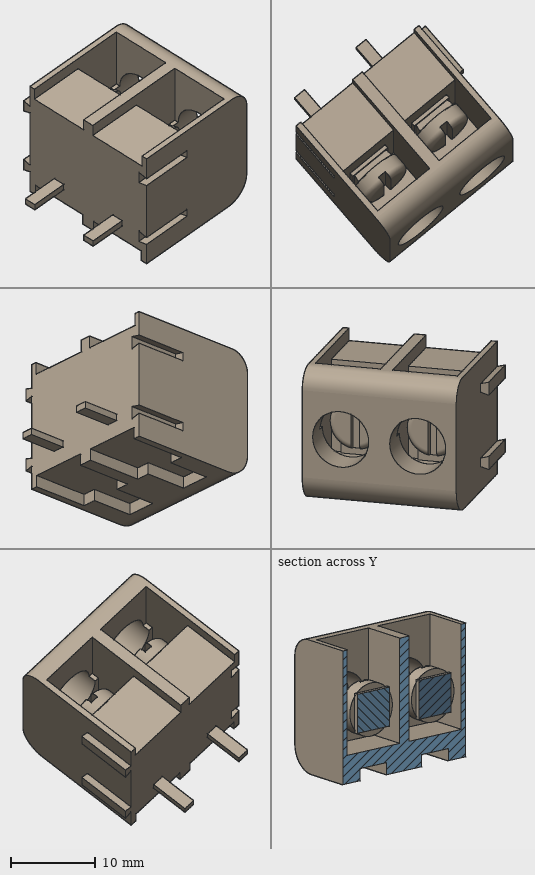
import cadquery as cq


POLES = 2
WIDTH = 19.02
PITCH = WIDTH / POLES
DEPTH = 17.3
HEIGHT = 16.5
TOP_RADIUS = 2.5
BOTTOM_RADIUS = 3.17

POCKET_WIDTH = 8.03
POCKET_BACK = 14.15
SHELF_DEPTH = 7.54
SHELF_DROP = 1.55
LIP_FRONT = 13.18

SCREW_Z = 8.35
DRIVER_HOLE_RADIUS = 3.45
HEAD_RADIUS = 3.28
HEAD_FRONT = 8.88
HEAD_LENGTH = 2.3
HEAD_ROUNDING = 0.75
DRIVE_SLOT_WIDTH = 1.07
DRIVE_SLOT_DEPTH = 1.0

PIN_WIDTH = 1.54
PIN_HEIGHT = 0.85
PIN_BOTTOM = 3.55
PIN_REACH = 5.0
PLATE_WIDTH = 5.4
PLATE_THICKNESS = 0.5
PLATE_BACK = SHELF_DEPTH + PLATE_THICKNESS
PLATE_TOP = SCREW_Z + PLATE_WIDTH / 2
CLAMP_FRONT_WIDTH = 4.86
CLAMP_BACK_WIDTH = 5.1

NOTCH_WIDTH = 7.72
NOTCH_HEIGHT = 1.5
NOTCH_CORE_WIDTH = 4.04

DOVETAIL_HEIGHTS = (3.6, 12.85)
DOVETAIL_LENGTH = 6.98
DOVETAIL_NECK_WIDTH = 1.07
DOVETAIL_OUTER_WIDTH = 1.63
RIB_PROJECTION = 1.0
GROOVE_DEPTH = 1.27

POLE_CENTRES = [(i + 0.5) * PITCH for i in range(POLES)]


def block(x_centre, width, y_front, y_back, z_bottom, z_top):
    """Box centred on x_centre between the given Y and Z limits."""
    plane = cq.Workplane("XY", origin=(x_centre, y_front, z_bottom))
    return plane.box(width, y_back - y_front, z_top - z_bottom, centered=(True, False, False))


def cylinder_along_y(x_centre, radius, y_front, y_back):
    """Cylinder on the screw axis of a pole."""
    plane = cq.Workplane("XZ", origin=(x_centre, y_front, SCREW_Z))
    return plane.circle(radius).extrude(y_front - y_back)


def dovetail(x_face, reach, z_centre):
    """Prism that starts at x_face and widens toward -X."""
    neck_half = DOVETAIL_NECK_WIDTH / 2
    outer_half = DOVETAIL_OUTER_WIDTH / 2
    outline = [
        (x_face, z_centre - neck_half),
        (x_face, z_centre + neck_half),
        (x_face - reach, z_centre + outer_half),
        (x_face - reach, z_centre - outer_half),
    ]
    return cq.Workplane("XZ").polyline(outline).close().extrude(-DOVETAIL_LENGTH)


def make_shell():
    """Solid housing block with its rear edges rounded."""
    shell = block(WIDTH / 2, WIDTH, 0, DEPTH, 0, HEIGHT)
    shell = shell.edges("|X and >Y and >Z").fillet(TOP_RADIUS)
    return shell.edges("|X and >Y and <Z").fillet(BOTTOM_RADIUS)


def cut_pole(body, x):
    """Cut the pocket, driver hole, pin passage and underside notch of one pole."""
    body = body.cut(block(x, POCKET_WIDTH, 0, SHELF_DEPTH, HEIGHT - SHELF_DROP, HEIGHT))
    body = body.cut(block(x, POCKET_WIDTH, SHELF_DEPTH, LIP_FRONT, PIN_BOTTOM, HEIGHT))
    body = body.cut(block(x, POCKET_WIDTH, LIP_FRONT, POCKET_BACK, SCREW_Z, HEIGHT))
    body = body.cut(cylinder_along_y(x, DRIVER_HOLE_RADIUS, LIP_FRONT, DEPTH))
    body = body.cut(block(x, PIN_WIDTH, 0, SHELF_DEPTH, PIN_BOTTOM, PIN_BOTTOM + PIN_HEIGHT))
    body = body.cut(block(x, NOTCH_WIDTH, 0, SHELF_DEPTH, 0, NOTCH_HEIGHT))
    return body.cut(block(x, NOTCH_CORE_WIDTH, SHELF_DEPTH, LIP_FRONT, 0, NOTCH_HEIGHT))


def make_housing():
    housing = make_shell()
    for x in POLE_CENTRES:
        housing = cut_pole(housing, x)
    for z in DOVETAIL_HEIGHTS:
        housing = housing.union(dovetail(0, RIB_PROJECTION, z))
        housing = housing.cut(dovetail(WIDTH, GROOVE_DEPTH, z))
    return housing


def make_screw_head(x):
    """Round-edged screw head with a drive slot along Z."""
    head_back = HEAD_FRONT + HEAD_LENGTH
    head = cylinder_along_y(x, HEAD_RADIUS, HEAD_FRONT, head_back)
    head = head.edges(">Y").fillet(HEAD_ROUNDING)
    slot = block(
        x,
        DRIVE_SLOT_WIDTH,
        head_back - DRIVE_SLOT_DEPTH,
        head_back,
        SCREW_Z - HEAD_RADIUS,
        SCREW_Z + HEAD_RADIUS,
    )
    return head.cut(slot)


def make_clamp(x):
    """Upright prism that widens from the plate to the screw head."""
    outline = [
        (x - CLAMP_FRONT_WIDTH / 2, PLATE_BACK),
        (x + CLAMP_FRONT_WIDTH / 2, PLATE_BACK),
        (x + CLAMP_BACK_WIDTH / 2, HEAD_FRONT),
        (x - CLAMP_BACK_WIDTH / 2, HEAD_FRONT),
    ]
    plane = cq.Workplane("XY", origin=(0, 0, SCREW_Z - CLAMP_FRONT_WIDTH / 2))
    return plane.polyline(outline).close().extrude(CLAMP_FRONT_WIDTH)


def make_terminal(x):
    """One-piece terminal: pin, upright contact plate, clamp and screw head."""
    pin = block(x, PIN_WIDTH, -PIN_REACH, PLATE_BACK, PIN_BOTTOM, PIN_BOTTOM + PIN_HEIGHT)
    plate = block(x, PLATE_WIDTH, SHELF_DEPTH, PLATE_BACK, PIN_BOTTOM, PLATE_TOP)
    return pin.union(plate).union(make_clamp(x)).union(make_screw_head(x))


housing = make_housing()
terminals = [make_terminal(x) for x in POLE_CENTRES]

result = cq.Compound.makeCompound([housing.val(), *[terminal.val() for terminal in terminals]])